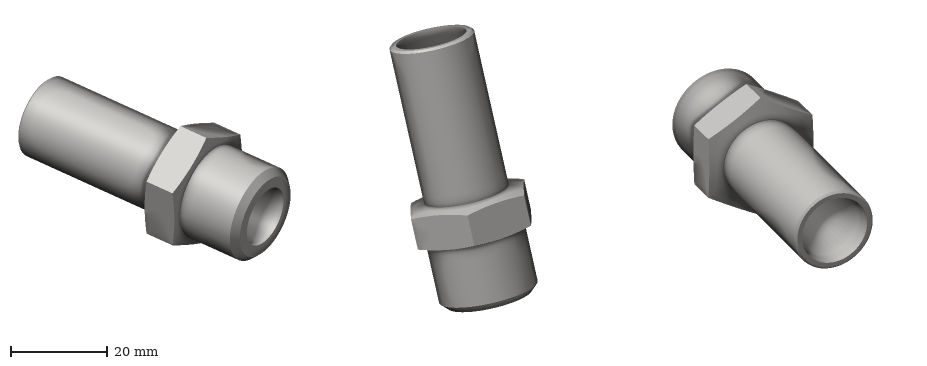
import cadquery as cq
import math

total_length = 57.0
tube_diameter = 18.0
tube_length = 34.05
tube_edge_chamfer = 0.45
hex_across_flats = 24.0
hex_length = 8.8
hex_cone_slope = math.tan(math.radians(15))
hex_face_land = 0.1
spigot_diameter = 21.0
spigot_chamfer = 1.5
tube_bore_diameter = 15.0
spigot_bore_diameter = 13.0

hex_across_corners = hex_across_flats / math.cos(math.pi / 6)
hex_end = tube_length + hex_length
tube_land_radius = tube_diameter / 2 + hex_face_land
spigot_land_radius = spigot_diameter / 2 + hex_face_land
corner_radius = hex_across_corners / 2
hex_tube_side_cone_length = (corner_radius - tube_land_radius) * hex_cone_slope
hex_spigot_side_cone_length = (corner_radius - spigot_land_radius) * hex_cone_slope
tube_bore_depth = tube_length
bore_taper_length = (tube_bore_diameter - spigot_bore_diameter) / 2


def cylinder(diameter, start, end):
    """Solid cylinder on the X axis between two X positions."""
    return cq.Workplane("YZ", origin=(start, 0, 0)).circle(diameter / 2).extrude(end - start)


def hexagon():
    """Hexagon with corners on Z, both ends turned down to cones."""
    prism = (
        cq.Workplane("YZ", origin=(tube_length, 0, 0))
        .polygon(6, hex_across_corners)
        .extrude(hex_length)
        .rotate((0, 0, 0), (1, 0, 0), 90)
    )
    turned_envelope = (
        cq.Workplane("XY")
        .moveTo(tube_length, 0)
        .lineTo(tube_length, tube_land_radius)
        .lineTo(tube_length + hex_tube_side_cone_length, corner_radius)
        .lineTo(hex_end - hex_spigot_side_cone_length, corner_radius)
        .lineTo(hex_end, spigot_land_radius)
        .lineTo(hex_end, 0)
        .close()
        .revolve(360, (0, 0, 0), (1, 0, 0))
    )
    return prism.intersect(turned_envelope)


tube = cylinder(tube_diameter, 0, hex_end).faces("<X").chamfer(tube_edge_chamfer)
spigot = cylinder(spigot_diameter, hex_end, total_length).faces(">X").chamfer(spigot_chamfer)
body = tube.union(hexagon()).union(spigot)

spigot_bore = cylinder(spigot_bore_diameter, 0, total_length)
tube_bore = (
    cylinder(tube_bore_diameter, 0, tube_bore_depth + bore_taper_length)
    .faces(">X")
    .chamfer(bore_taper_length)
)
result = body.cut(spigot_bore).cut(tube_bore)